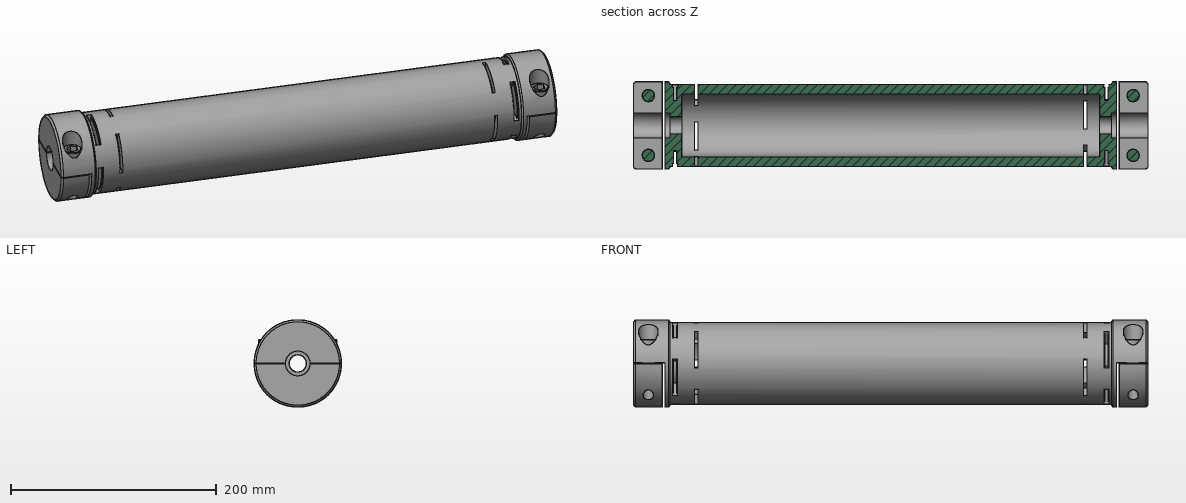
import cadquery as cq

length = 500.0
half_length = length / 2
tube_diameter = 80.0
tube_bore = 61.0

hub_diameter = 85.0
hub_length = 35.5
outer_chamfer = 2.0
inner_chamfer = 1.5
shaft_bore = 24.0
through_bore = 16.5
plug_length = 47.0

clamp_length = 28.0
relief_width = 2.5
split_height = 1.0

screw_inset = 14.5
screw_offset = 29.0
counterbore_diameter = 19.0
head_diameter = 18.0
head_height = 12.0
head_chamfer = 0.75
head_top = 23.5
head_seat = head_top - head_height
shank_diameter = 12.0
shank_bottom = -15.0
tapped_hole_diameter = 10.0
socket_width = 10.0
socket_depth = 6.0
socket_point_depth = 3.0

slots_per_row = 4
slot_width = 3.0
recess_width = 5.0
slot_start = -6.0
slot_end = 51.0
outer_row_inset = 40.5
inner_row_inset = 61.0
recess_floor = 74.0
outer_row_floor = 49.0
inner_row_floor = tube_bore


def cylinder_x(diameter, start, end):
    """Cylinder on the X axis between two X positions."""
    return cq.Workplane("YZ", origin=(start, 0, 0)).circle(diameter / 2).extrude(end - start)


def cylinder_z(diameter, x, y, bottom, top):
    """Vertical cylinder between two heights."""
    return cq.Workplane("XY", origin=(x, y, bottom)).circle(diameter / 2).extrude(top - bottom)


def slot_row(x, width, floor_diameter, start_angle, end_angle):
    """One ring of equally spaced slots, cut radially down to the floor diameter."""
    profile_middle = (floor_diameter + hub_diameter) / 4
    radial_depth = (hub_diameter - floor_diameter) / 2
    pitch = 360.0 / slots_per_row
    sector = (
        cq.Workplane("XY", origin=(x, 0, 0))
        .center(0, -profile_middle)
        .rect(width, radial_depth)
        .revolve(end_angle - start_angle, (0, profile_middle, 0), (1, profile_middle, 0))
        .rotate((0, 0, 0), (1, 0, 0), -end_angle)
    )
    row = sector
    for index in range(1, slots_per_row):
        row = row.union(sector.rotate((0, 0, 0), (1, 0, 0), index * pitch))
    return row


def clamp_screw(x, y):
    """Socket head screw, cut short at the cap's tapped hole."""
    head = cylinder_z(head_diameter, x, y, head_seat, head_top).faces(">Z").chamfer(head_chamfer)
    shank = cylinder_z(shank_diameter, x, y, shank_bottom, head_seat)
    socket = (
        cq.Workplane("XY", origin=(x, y, head_top - socket_depth))
        .polygon(6, socket_width, circumscribed=True)
        .extrude(socket_depth)
    )
    socket_point = cq.Workplane("XY").add(
        cq.Solid.makeCone(
            0,
            socket_width / 2,
            socket_point_depth,
            pnt=cq.Vector(x, y, head_top - socket_depth - socket_point_depth),
        )
    )
    return head.union(shank).cut(socket).cut(socket_point)


def end_hub():
    """Left clamping hub with its plug inside the tube, split and screwed together."""
    face = -half_length
    hub = cylinder_x(hub_diameter, face, face + hub_length)
    hub = hub.faces("<X").chamfer(outer_chamfer)
    hub = hub.faces(">X").chamfer(inner_chamfer)
    hub = hub.union(cylinder_x(tube_diameter, face + hub_length, face + plug_length))
    hub = hub.cut(cylinder_x(through_bore, face, face + plug_length))
    hub = hub.cut(cylinder_x(shaft_bore, face, face + hub_length))

    split_length = clamp_length + relief_width
    split = cq.Workplane("XY").box(split_length, hub_diameter, split_height)
    hub = hub.cut(split.translate((face + split_length / 2, 0, 0)))
    relief = cq.Workplane("XY").box(relief_width, hub_diameter, hub_diameter / 2)
    hub = hub.cut(relief.translate((face + clamp_length + relief_width / 2, 0, -hub_diameter / 4)))

    screw_x = face + screw_inset
    for y in (-screw_offset, screw_offset):
        hub = hub.cut(cylinder_z(counterbore_diameter, screw_x, y, head_seat, hub_diameter / 2))
        hub = hub.cut(cylinder_z(tapped_hole_diameter, screw_x, y, -hub_diameter / 2, shank_bottom))
        hub = hub.union(clamp_screw(screw_x, y))
    return hub


tube_end = half_length - plug_length
tube = cylinder_x(tube_diameter, -tube_end, tube_end).cut(cylinder_x(tube_bore, -tube_end, tube_end))
left_hub = end_hub()
body = tube.union(left_hub).union(left_hub.mirror("YZ"))

outer_row_x = outer_row_inset - half_length
inner_row_x = inner_row_inset - half_length
outer_row = slot_row(outer_row_x, slot_width, outer_row_floor, -slot_end, -slot_start)
outer_recess = slot_row(outer_row_x, recess_width, recess_floor, -slot_end, -slot_start)
inner_row = slot_row(inner_row_x, slot_width, inner_row_floor, slot_start, slot_end)
for row in (outer_row, outer_recess, inner_row):
    body = body.cut(row)
    body = body.cut(row.rotate((0, 0, 0), (0, 1, 0), 180))

result = body